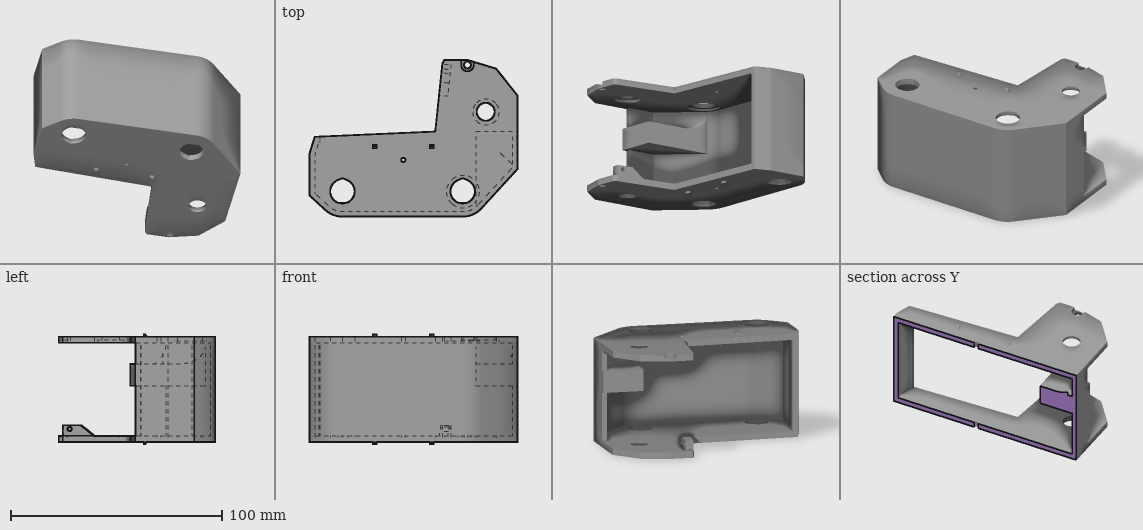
import cadquery as cq
import math

LENGTH = 98.6
WIDTH = 74.29
HEIGHT = 50.0
PLATE = 3.0
WALL = 2.5
BACK_OPENING_Y = 25.0

CORNER_RADIUS = 12.0
LEFT_CENTER = (15.65, CORNER_RADIUS)
RIGHT_CENTER = (72.6, CORNER_RADIUS)
LEFT_LOW = (0, 10.1)
LEFT_HIGH = (0, 29.9)
LEFT_TIP = (2.5, 37.9)
INNER_CORNER = (59.55, 40.4)
ARM_EDGE_END = (62.9, 72.4)
ARM_TIP = (63.9, WIDTH)
BACK_BEND = (74.8, WIDTH)
BACK_CORNER = (88.4, 70.2)
RIGHT_HIGH = (LENGTH, 57.4)
RIGHT_LOW = (LENGTH, 22.6)

WHEEL_HOLE_RADIUS = 5.75
WHEEL_HOLE_PEAK = 6.2
WHEEL_HOLE_FLAT = 5.3
ARM_HOLE = (83.5, 49.7)
ARM_HOLE_DIAMETER = 8.4
PIN_HOLE = (44.45, 26.9)
PIN_HOLE_DIAMETER = 1.9
RECESS_MARGIN = 2.0
ARM_RECESS_DEPTH = 1.5
WHEEL_RECESS_DEPTH = 1.0
SCREW_HOLE = (74.85, 71.9)
SCREW_HOLE_DIAMETER = 3.2
SCREW_HEAD_WIDTH = 6.1
SCREW_HEAD_DEPTH = 1.5

PEG_CENTERS_X = (31.0, 58.0)
PEG_LENGTH = 2.0
PEG_HEIGHT = 1.0
PEG_BACK_Y = 34.0
PEG_BASE = 1.5
PEG_TIP = 0.7

EAR_THICKNESS = 4.0
EAR_INSET = 0.1
EAR_TOP = 8.0
EAR_TOP_LENGTH = 8.6
EAR_BASE_LENGTH = 14.8
EAR_HOLE_SETBACK = 3.2
EAR_HOLE_Z = 6.2
EAR_HOLE_DIAMETER = 1.9

SHELF_LEFT = 78.8
SHELF_BOTTOM = 26.6
SHELF_TOP = 37.0
SHELF_BLEND = 9.0


def on_corner(center, angle):
    """Point on the rounded front corner about the given center."""
    return (center[0] + CORNER_RADIUS * math.cos(angle), center[1] + CORNER_RADIUS * math.sin(angle))


def tangent_angle(point, center, side):
    """Angle at which a line from the point touches the corner circle (side is +1 or -1)."""
    dx = point[0] - center[0]
    dy = point[1] - center[1]
    return math.atan2(dy, dx) + side * math.acos(CORNER_RADIUS / math.hypot(dx, dy))


LEFT_TANGENT = tangent_angle(LEFT_LOW, LEFT_CENTER, 1)
RIGHT_TANGENT = tangent_angle(RIGHT_LOW, RIGHT_CENTER, -1)
DOWN = -math.pi / 2


def outline_wire():
    left_mid = (LEFT_TANGENT + DOWN) / 2
    right_mid = (RIGHT_TANGENT + DOWN) / 2
    return (
        cq.Workplane("XY")
        .moveTo(*LEFT_LOW)
        .lineTo(*on_corner(LEFT_CENTER, LEFT_TANGENT))
        .threePointArc(on_corner(LEFT_CENTER, left_mid), (LEFT_CENTER[0], 0))
        .lineTo(RIGHT_CENTER[0], 0)
        .threePointArc(
            on_corner(RIGHT_CENTER, right_mid),
            on_corner(RIGHT_CENTER, RIGHT_TANGENT),
        )
        .lineTo(*RIGHT_LOW)
        .lineTo(*RIGHT_HIGH)
        .lineTo(*BACK_CORNER)
        .lineTo(*BACK_BEND)
        .lineTo(*ARM_TIP)
        .lineTo(*ARM_EDGE_END)
        .lineTo(*INNER_CORNER)
        .lineTo(*LEFT_TIP)
        .lineTo(*LEFT_HIGH)
        .close()
    )


def full_prism():
    return outline_wire().extrude(HEIGHT)


def block(x_range, y_range, z_range):
    size = [high - low for low, high in (x_range, y_range, z_range)]
    corner = (x_range[0], y_range[0], z_range[0])
    return cq.Workplane("XY").box(*size, centered=False).translate(corner)


def make_shell():
    """Plates and wall; the space between the plates is open at the back."""
    gap = (PLATE, HEIGHT - PLATE)
    pocket = (
        cq.Workplane("XY", origin=(0, 0, PLATE))
        .add(outline_wire().translate((0, 0, PLATE)).val())
        .toPending()
        .offset2D(-WALL)
        .extrude(gap[1] - gap[0])
    )
    between_ends = block((LEFT_TIP[0] + WALL, LENGTH - WALL), (BACK_OPENING_Y, WIDTH), gap)
    behind_ends = block((0, LENGTH), (LEFT_TIP[1], WIDTH), gap)
    return full_prism().cut(pocket).cut(between_ends).cut(behind_ends)


def wheel_hole(center):
    """Round hole with a shallow peak at the back; the lower plate keeps a flat at the front."""
    half_angle = math.acos(WHEEL_HOLE_RADIUS / WHEEL_HOLE_PEAK)
    side_x = WHEEL_HOLE_RADIUS * math.sin(half_angle)
    side_y = WHEEL_HOLE_RADIUS * math.cos(half_angle)
    hole = (
        cq.Workplane("XY")
        .moveTo(0, WHEEL_HOLE_PEAK)
        .lineTo(side_x, side_y)
        .threePointArc((0, -WHEEL_HOLE_RADIUS), (-side_x, side_y))
        .close()
        .extrude(HEIGHT)
    )
    flat = block(
        (-WHEEL_HOLE_RADIUS, WHEEL_HOLE_RADIUS),
        (-WHEEL_HOLE_RADIUS, -WHEEL_HOLE_FLAT),
        (0, PLATE),
    )
    return hole.cut(flat).translate((center[0], center[1], 0))


def round_hole(center, diameter):
    return cq.Workplane("XY").center(*center).circle(diameter / 2).extrude(HEIGHT)


def underside_recess(center, hole_radius, depth):
    """Round recess around a hole in the underside of the upper plate."""
    return (
        cq.Workplane("XY", origin=(0, 0, HEIGHT - PLATE))
        .center(*center)
        .circle(hole_radius + RECESS_MARGIN)
        .extrude(depth)
    )


def screw_head_slot():
    """Round-ended recess in the upper plate, open to the back edge."""
    floor = HEIGHT - SCREW_HEAD_DEPTH
    half_width = SCREW_HEAD_WIDTH / 2
    seat = (
        cq.Workplane("XY", origin=(0, 0, floor))
        .center(*SCREW_HOLE)
        .circle(half_width)
        .extrude(SCREW_HEAD_DEPTH)
    )
    opening = block(
        (SCREW_HOLE[0] - half_width, SCREW_HOLE[0] + half_width),
        (SCREW_HOLE[1], WIDTH),
        (floor, HEIGHT),
    )
    return seat.union(opening)


def make_peg(x):
    """Peg on the upper plate, upright at the back and sloping at the front."""
    return (
        cq.Workplane("YZ", origin=(x - PEG_LENGTH / 2, 0, HEIGHT))
        .moveTo(PEG_BACK_Y, -PLATE / 2)
        .lineTo(PEG_BACK_Y, PEG_HEIGHT)
        .lineTo(PEG_BACK_Y - PEG_TIP, PEG_HEIGHT)
        .lineTo(PEG_BACK_Y - PEG_BASE, 0)
        .lineTo(PEG_BACK_Y - PEG_BASE, -PLATE / 2)
        .close()
        .extrude(PEG_LENGTH)
    )


def make_ear():
    along = cq.Vector(*INNER_CORNER) - cq.Vector(*ARM_EDGE_END)
    outward = along.cross(cq.Vector(0, 0, 1))
    edge_plane = cq.Plane(origin=ARM_EDGE_END + (0,), xDir=along, normal=outward)
    ear = (
        cq.Workplane(edge_plane)
        .workplane(offset=-EAR_INSET)
        .moveTo(0, 0)
        .lineTo(0, EAR_TOP)
        .lineTo(EAR_TOP_LENGTH, EAR_TOP)
        .lineTo(EAR_BASE_LENGTH, PLATE)
        .lineTo(EAR_BASE_LENGTH, 0)
        .close()
        .extrude(-EAR_THICKNESS)
    )
    hole = (
        cq.Workplane(edge_plane)
        .center(EAR_HOLE_SETBACK, EAR_HOLE_Z)
        .circle(EAR_HOLE_DIAMETER / 2)
        .extrude(-EAR_THICKNESS - EAR_INSET)
    )
    return ear.cut(hole)


def make_shelf():
    """Shelf across the right end with a concave blend up to the slanted wall."""
    shelf = block((SHELF_LEFT, LENGTH), (0, INNER_CORNER[1]), (SHELF_BOTTOM, SHELF_TOP))
    slant_start = cq.Vector(*on_corner(RIGHT_CENTER, RIGHT_TANGENT))
    slant = cq.Vector(*RIGHT_LOW) - slant_start
    inward = cq.Vector(0, 0, 1).cross(slant)
    blend_end = WALL + SHELF_BLEND
    arc_offset = SHELF_BLEND * (1 - math.sqrt(0.5))
    blend = (
        cq.Workplane(cq.Plane(origin=slant_start, xDir=inward, normal=slant))
        .moveTo(0, SHELF_BOTTOM)
        .lineTo(blend_end, SHELF_BOTTOM)
        .lineTo(blend_end, SHELF_TOP)
        .threePointArc(
            (WALL + arc_offset, SHELF_TOP + arc_offset),
            (WALL, SHELF_TOP + SHELF_BLEND),
        )
        .lineTo(0, SHELF_TOP + SHELF_BLEND)
        .close()
        .extrude(slant.Length, both=True)
    )
    footprint = block((SHELF_LEFT, LENGTH), (0, INNER_CORNER[1]), (0, HEIGHT))
    return shelf.union(blend.intersect(footprint)).intersect(full_prism())


body = make_shell().union(make_shelf()).union(make_ear())
for hole_center in (LEFT_CENTER, RIGHT_CENTER):
    body = body.cut(wheel_hole(hole_center))
body = body.cut(round_hole(ARM_HOLE, ARM_HOLE_DIAMETER))
body = body.cut(round_hole(PIN_HOLE, PIN_HOLE_DIAMETER))
body = body.cut(round_hole(SCREW_HOLE, SCREW_HOLE_DIAMETER))
body = body.cut(underside_recess(ARM_HOLE, ARM_HOLE_DIAMETER / 2, ARM_RECESS_DEPTH))
body = body.cut(underside_recess(RIGHT_CENTER, WHEEL_HOLE_RADIUS, WHEEL_RECESS_DEPTH))
body = body.cut(screw_head_slot())
for peg_x in PEG_CENTERS_X:
    peg = make_peg(peg_x)
    body = body.union(peg)
    body = body.union(peg.mirror("XY", (0, 0, HEIGHT / 2)))

result = body